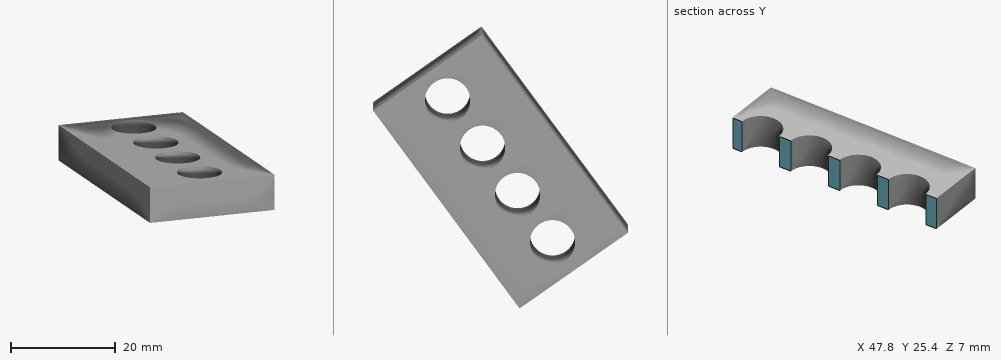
import cadquery as cq

length = 47.75
width = 25.4
thickness = 7.0

hole_diameter = 8.65
hole_count = 4
hole_pitch = 11.4
row_offset = 0.15

plate = cq.Workplane("XY").box(length, width, thickness)

result = (
    plate.faces(">Z")
    .workplane(origin=(row_offset, 0, 0))
    .rarray(hole_pitch, 0.5, hole_count, 1)
    .hole(hole_diameter)
)